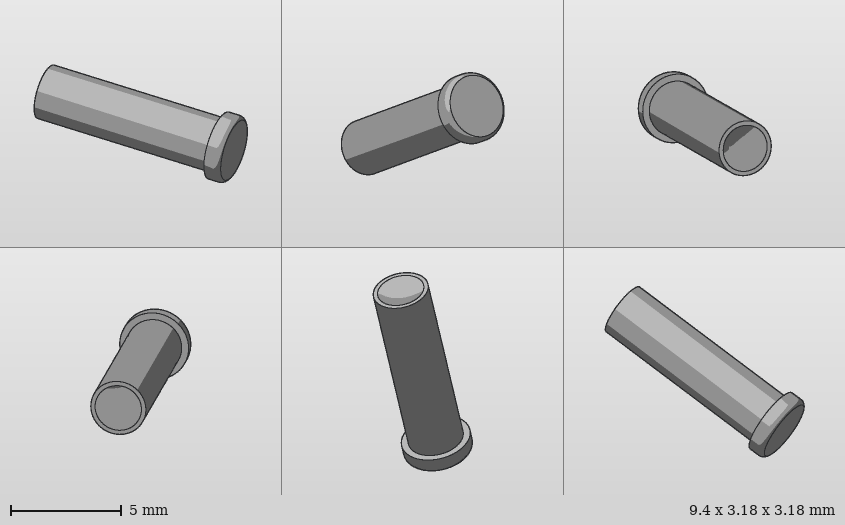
import cadquery as cq
import math

total_length = 9.4
shank_diameter = 2.54
head_diameter = 3.18
head_length = 0.76
rim_round_length = 0.25
rim_round_inset = 0.17
dimple_diameter = 2.13
dimple_depth = 0.21

shank_end_x = -total_length / 2
head_end_x = total_length / 2
shoulder_x = head_end_x - head_length
round_start_x = head_end_x - rim_round_length
shank_radius = shank_diameter / 2
head_radius = head_diameter / 2
dimple_radius = dimple_diameter / 2

rim_arc_radius = (rim_round_length**2 + rim_round_inset**2) / (2 * rim_round_inset)
rim_arc_half_angle = math.asin(rim_round_length / rim_arc_radius) / 2
rim_arc_middle = (
    round_start_x + rim_arc_radius * math.sin(rim_arc_half_angle),
    head_radius - rim_arc_radius * (1 - math.cos(rim_arc_half_angle)),
)

dimple_sphere_radius = (dimple_radius**2 + dimple_depth**2) / (2 * dimple_depth)
dimple_half_angle = math.asin(dimple_radius / dimple_sphere_radius) / 2
dimple_floor_x = shank_end_x + dimple_depth
dimple_arc_middle = (
    dimple_floor_x - dimple_sphere_radius * (1 - math.cos(dimple_half_angle)),
    dimple_sphere_radius * math.sin(dimple_half_angle),
)

half_section = (
    cq.Workplane("XY")
    .moveTo(dimple_floor_x, 0)
    .threePointArc(dimple_arc_middle, (shank_end_x, dimple_radius))
    .lineTo(shank_end_x, shank_radius)
    .lineTo(shoulder_x, shank_radius)
    .lineTo(shoulder_x, head_radius)
    .lineTo(round_start_x, head_radius)
    .threePointArc(rim_arc_middle, (head_end_x, head_radius - rim_round_inset))
    .lineTo(head_end_x, 0)
    .close()
)
result = half_section.revolve(360, (0, 0, 0), (1, 0, 0))